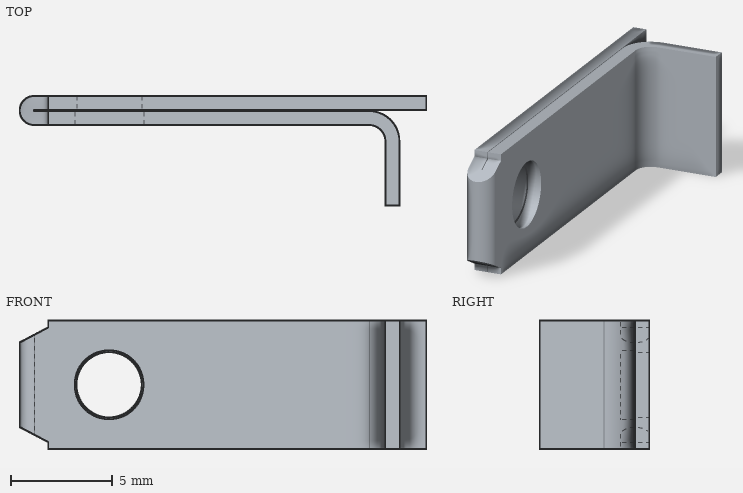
import cadquery as cq

length = 20.07
depth = 5.42
width = 6.35

fold_radius = 0.72
slit_gap = 0.05
sheet_thickness = fold_radius - slit_gap / 2

leg_outer_x = 18.75
bend_inner_radius = 0.8
bend_outer_radius = bend_inner_radius + sheet_thickness
leg_inner_x = leg_outer_x - sheet_thickness
bend_start_x = leg_outer_x - bend_outer_radius
leg_end_y = fold_radius - depth

shoulder_x = 1.4
shoulder_step = 0.35
nose_inset = 1.08

hole_x = 4.42
front_hole_diameter = 3.41
back_hole_diameter = 3.21


def extrude_across_width(sketch):
    return sketch.extrude(width / 2, both=True)


def make_fold():
    """Solid half-round that joins the two layers."""
    return extrude_across_width(
        cq.Workplane("XY")
        .moveTo(fold_radius, -fold_radius)
        .threePointArc((0, 0), (fold_radius, fold_radius))
        .close()
    )


def make_back_layer():
    """Flat layer behind the slit, the longer of the two."""
    return extrude_across_width(
        cq.Workplane("XY")
        .moveTo(fold_radius, slit_gap / 2)
        .lineTo(length, slit_gap / 2)
        .lineTo(length, fold_radius)
        .lineTo(fold_radius, fold_radius)
        .close()
    )


def make_front_layer():
    """Layer that runs from the fold and turns through a round bend into the leg."""
    return extrude_across_width(
        cq.Workplane("XY")
        .moveTo(fold_radius, -slit_gap / 2)
        .lineTo(bend_start_x, -slit_gap / 2)
        .tangentArcPoint((leg_outer_x, -slit_gap / 2 - bend_outer_radius), relative=False)
        .lineTo(leg_outer_x, leg_end_y)
        .lineTo(leg_inner_x, leg_end_y)
        .lineTo(leg_inner_x, -fold_radius - bend_inner_radius)
        .tangentArcPoint((bend_start_x, -fold_radius), relative=False)
        .lineTo(fold_radius, -fold_radius)
        .close()
    )


def make_side_outline():
    """Block with the stepped and tapered nose, used to trim the folded sheet."""
    half_width = width / 2
    shoulder_z = half_width - shoulder_step
    nose_z = half_width - nose_inset
    outline = [
        (0, -nose_z),
        (shoulder_x, -shoulder_z),
        (shoulder_x, -half_width),
        (length, -half_width),
        (length, half_width),
        (shoulder_x, half_width),
        (shoulder_x, shoulder_z),
        (0, nose_z),
    ]
    return cq.Workplane("XZ").polyline(outline).close().extrude(depth, both=True)


def make_hole(diameter, direction):
    """Cylinder from the middle of the slit; direction is +1 for back, -1 for front."""
    return (
        cq.Workplane("XZ")
        .center(hole_x, 0)
        .circle(diameter / 2)
        .extrude(-direction * fold_radius)
    )


result = (
    make_fold()
    .union(make_back_layer())
    .union(make_front_layer())
    .intersect(make_side_outline())
    .cut(make_hole(front_hole_diameter, -1))
    .cut(make_hole(back_hole_diameter, 1))
)